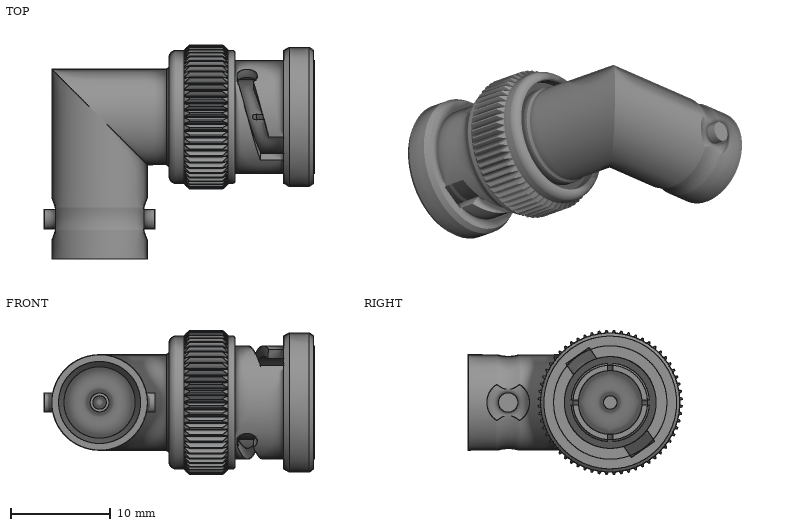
import cadquery as cq
import math


overall_length = 27.15

body_radius = 4.8
jack_end = -14.28
bore_radius = 4.13
bore_floor_radius = 3.58
bore_taper_length = 0.55
bore_floor = -5.97
contact_radius = 0.95
contact_hole_radius = 0.68
contact_tip = -11.18
contact_hole_depth = 2.71

pin_y = -10.25
pin_radius = 0.98
pin_reach = 5.56
flat_radius = 2.15
flat_distance = 4.45
waist_width = 2.28
waist_depth = 0.15

flare_start = 6.7
flare_radius = 5.0
nut_start = 6.97
nut_end = 13.62
nut_radius = 6.7
nut_front_round = 0.65
nut_mouth_radius = 5.8
mouth_chamfer = 0.1
recess_radius = nut_mouth_radius - mouth_chamfer
recess_depth = 1.09
nut_rear_fillet = 0.3

knurl_start = 8.5
knurl_end = 12.92
knurl_radius = 7.25
knurl_chamfer = knurl_radius - nut_radius
tooth_count = 60
tooth_pitch = 360 / tooth_count
tip_half_angle = 0.5
root_half_angle = 2.5

sleeve_radius = 5.7
sleeve_bore_radius = 4.61
sleeve_end = overall_length - pin_reach
flange_start = 18.5
flange_end = 21.52
flange_radius = 7.0
flange_front_chamfer = 0.57
flange_rear_chamfer = 0.45
flange_chamfer_depth = 0.33

cavity_start = 13.15
shell_radius = 3.75
shell_bore_radius = 3.2
shell_floor = 15.8
bulge_start = 19.27
bulge_radius = 3.94
bulge_ramp = 0.27
shell_end = 21.03
slit_width = 0.52
slit_start = 15.35
slit_count = 4
centre_pin_radius = 0.68
centre_pin_end = 20.63

detent_x = 14.82
detent_angle = 46.5
detent_radius = 1.03
entry_angle = -35.0
entry_width = 2.85
entry_start = 16.18
entry_reach = 5.75
entry_edge_angle = entry_angle - math.degrees(math.asin(entry_width / 2 / sleeve_radius))
helix_start_angle = 41.0
helix_rate = 38.32
helix_width_angle = 60.0
slot_copies = 2
slot_overcut = 0.27


def turned(profile):
    """Close an (x, radius) profile and revolve it about the plug axis."""
    return profile.close().revolve(360, (0, 0, 0), (1, 0, 0))


def plug_cylinder(radius, start, end):
    return cq.Workplane("YZ").workplane(offset=start).circle(radius).extrude(end - start)


def jack_cylinder(radius, start, end):
    """Cylinder on the jack axis between two Y positions, start being the higher one."""
    return cq.Workplane("XZ").workplane(offset=-start).circle(radius).extrude(start - end)


def around_plug(x, angle):
    """Workplane on the plug axis whose normal points outwards at the given angle."""
    tilt = math.radians(angle)
    return cq.Workplane(cq.Plane((x, 0, 0), (1, 0, 0), (0, math.sin(tilt), math.cos(tilt))))


def polar(radius, angle):
    """(y, z) point at an angle from +Z towards +Y."""
    return (radius * math.sin(math.radians(angle)), radius * math.cos(math.radians(angle)))


def mitre_half(far_side):
    """Prism on one side of the 45 degree mitre plane, ending at the two given far corners."""
    inner_corner = (body_radius, -body_radius)
    outer_corner = (-body_radius, body_radius)
    outline = [outer_corner, inner_corner] + far_side
    return cq.Workplane("XY").polyline(outline).close().extrude(body_radius, both=True)


def make_elbow():
    jack_half = mitre_half([(body_radius, jack_end), (-body_radius, jack_end)])
    plug_half = mitre_half([(nut_start, -body_radius), (nut_start, body_radius)])
    jack_leg = jack_cylinder(body_radius, body_radius, jack_end).intersect(jack_half)
    plug_leg = plug_cylinder(body_radius, -body_radius, nut_start).intersect(plug_half)
    return jack_leg.union(plug_leg)


def cut_jack_outside(body):
    half = waist_width / 2
    waist = (
        cq.Workplane("XY")
        .moveTo(body_radius, pin_y - half)
        .threePointArc((body_radius - waist_depth, pin_y), (body_radius, pin_y + half))
        .close()
        .revolve(360, (0, 0, 0), (0, 1, 0))
    )
    body = body.cut(waist)
    for side in (-1, 1):
        flat = (
            cq.Workplane("YZ").workplane(offset=side * flat_distance)
            .center(pin_y, 0).circle(flat_radius).extrude(side * (body_radius - flat_distance))
        )
        body = body.cut(flat)
    return body


def make_pins():
    return cq.Workplane("YZ").center(pin_y, 0).circle(pin_radius).extrude(pin_reach, both=True)


def make_jack_bore():
    return (
        cq.Workplane("XY")
        .polyline([
            (0, jack_end),
            (bore_radius, jack_end),
            (bore_radius, bore_floor - bore_taper_length),
            (bore_floor_radius, bore_floor),
            (0, bore_floor),
        ])
        .close()
        .revolve(360, (0, 0, 0), (0, 1, 0))
    )


def make_contact():
    contact = jack_cylinder(contact_radius, bore_floor, contact_tip)
    return contact.cut(jack_cylinder(contact_hole_radius, contact_tip + contact_hole_depth, contact_tip))


def make_nut():
    diagonal = 1 - math.sqrt(0.5)
    face_drop = nut_radius - nut_mouth_radius
    front_mid = (nut_start + nut_front_round * diagonal, nut_radius - face_drop * diagonal)
    rear_mid = (nut_end - nut_rear_fillet * diagonal, nut_radius - nut_rear_fillet * diagonal)
    return turned(
        cq.Workplane("XY")
        .moveTo(flare_start, 0)
        .lineTo(flare_start, body_radius)
        .lineTo(nut_start, flare_radius)
        .lineTo(nut_start + recess_depth, flare_radius)
        .lineTo(nut_start + recess_depth, recess_radius)
        .lineTo(nut_start + mouth_chamfer, recess_radius)
        .lineTo(nut_start, nut_mouth_radius)
        .threePointArc(front_mid, (nut_start + nut_front_round, nut_radius))
        .lineTo(nut_end - nut_rear_fillet, nut_radius)
        .threePointArc(rear_mid, (nut_end, nut_radius - nut_rear_fillet))
        .lineTo(nut_end, 0)
    )


def make_knurl():
    outline = []
    for tooth in range(tooth_count):
        middle = (tooth + 0.5) * tooth_pitch
        outline.append(polar(nut_radius, middle - root_half_angle))
        outline.append(polar(knurl_radius, middle - tip_half_angle))
        outline.append(polar(knurl_radius, middle + tip_half_angle))
        outline.append(polar(nut_radius, middle + root_half_angle))
    teeth = (
        cq.Workplane("YZ").workplane(offset=knurl_start)
        .polyline(outline).close().extrude(knurl_end - knurl_start)
    )
    envelope = plug_cylinder(knurl_radius, knurl_start, knurl_end).edges().chamfer(knurl_chamfer)
    return teeth.intersect(envelope)


def make_sleeve():
    rim = flange_radius - flange_chamfer_depth
    return turned(
        cq.Workplane("XY")
        .polyline([
            (cavity_start, sleeve_bore_radius),
            (cavity_start, sleeve_radius),
            (flange_start, sleeve_radius),
            (flange_start, rim),
            (flange_start + flange_front_chamfer, flange_radius),
            (flange_end - flange_rear_chamfer, flange_radius),
            (flange_end, rim),
            (flange_end, sleeve_radius),
            (sleeve_end, sleeve_radius),
            (sleeve_end, sleeve_bore_radius),
        ])
    )


def make_bayonet_slot():
    reach = sleeve_radius + slot_overcut
    detent = around_plug(detent_x, detent_angle).circle(detent_radius).extrude(reach)
    entry_length = sleeve_end - entry_start
    entry = (
        around_plug(entry_start + entry_length / 2, entry_angle)
        .rect(entry_length, entry_width).extrude(entry_reach)
    )

    run = (helix_start_angle - entry_edge_angle) / helix_rate
    start_x = entry_start - run
    length = run + helix_width_angle / helix_rate
    middle_angle = helix_start_angle + helix_width_angle / 2
    end_angle = helix_start_angle + helix_width_angle
    root = shell_radius - slot_overcut
    helix = (
        cq.Workplane("YZ").workplane(offset=start_x)
        .moveTo(*polar(root, helix_start_angle))
        .lineTo(*polar(reach, helix_start_angle))
        .threePointArc(polar(reach, middle_angle), polar(reach, end_angle))
        .lineTo(*polar(root, end_angle))
        .threePointArc(polar(root, middle_angle), polar(root, helix_start_angle))
        .close().twistExtrude(length, helix_rate * length)
    )

    far = 2 * reach
    track = (
        cq.Workplane("YZ").workplane(offset=start_x)
        .polyline([(0, 0), polar(far, helix_start_angle), polar(far, 0), polar(far, entry_edge_angle)])
        .close().extrude(length)
    )
    return detent.union(entry).union(helix.intersect(track))


def make_shell():
    shell = turned(
        cq.Workplane("XY")
        .polyline([
            (cavity_start, 0),
            (cavity_start, shell_radius),
            (bulge_start, shell_radius),
            (bulge_start + bulge_ramp, bulge_radius),
            (shell_end - bulge_ramp, bulge_radius),
            (shell_end, shell_radius),
            (shell_end, shell_bore_radius),
            (shell_floor, shell_bore_radius),
            (shell_floor, centre_pin_radius),
            (centre_pin_end, centre_pin_radius),
            (centre_pin_end, 0),
        ])
    )
    slit_length = shell_end - slit_start
    shell_core = plug_cylinder(shell_bore_radius, slit_start, centre_pin_end)
    for index in range(slit_count):
        slit = (
            around_plug(shell_end, index * 360 / slit_count)
            .slot2D(2 * slit_length, slit_width).extrude(bulge_radius)
        )
        shell = shell.cut(slit.cut(shell_core))
    return shell


jack = cut_jack_outside(make_elbow()).union(make_pins()).cut(make_jack_bore()).union(make_contact())
nut = make_nut().union(make_knurl()).cut(plug_cylinder(sleeve_bore_radius, cavity_start, nut_end))
sleeve = make_sleeve()
slot = make_bayonet_slot()
for index in range(slot_copies):
    sleeve = sleeve.cut(slot.rotate((0, 0, 0), (1, 0, 0), index * 360 / slot_copies))
result = jack.union(nut).union(sleeve).union(make_shell())